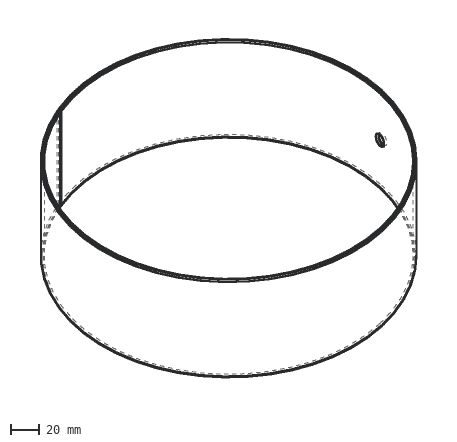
import cadquery as cq

outer_diameter = 265.0
height = 90.0
wall = 2.5
rim_chamfer_height = 1.5
rim_chamfer_depth = 0.8

split_width = 2.0

hole_diameter = 10.0
hole_angle = 59.0

outer_radius = outer_diameter / 2


def make_ring():
    """Thin ring standing on Z = 0, with inner and outer rims chamfered."""
    inner_radius = outer_radius - wall
    outer_rim_radius = outer_radius - rim_chamfer_depth
    inner_rim_radius = inner_radius + rim_chamfer_depth
    section = [
        (inner_radius, rim_chamfer_height),
        (inner_rim_radius, 0),
        (outer_rim_radius, 0),
        (outer_radius, rim_chamfer_height),
        (outer_radius, height - rim_chamfer_height),
        (outer_rim_radius, height),
        (inner_rim_radius, height),
        (inner_radius, height - rim_chamfer_height),
    ]
    ring = cq.Workplane("XZ").polyline(section).close().revolve(360, (0, 0, 0), (0, 1, 0))
    return ring.rotate((0, 0, 0), (0, 0, 1), 180)


def make_split():
    """Full-height block reaching from the axis out through the -X wall."""
    block = cq.Workplane("XY").box(outer_diameter, split_width, height, centered=False)
    return block.translate((-outer_diameter, 0, 0))


def make_hole():
    """Cylinder reaching from the axis out through the wall in one direction."""
    drill = cq.Workplane("YZ").center(0, height / 2).circle(hole_diameter / 2).extrude(outer_diameter)
    return drill.rotate((0, 0, 0), (0, 0, 1), hole_angle)


result = make_ring().cut(make_split()).cut(make_hole())